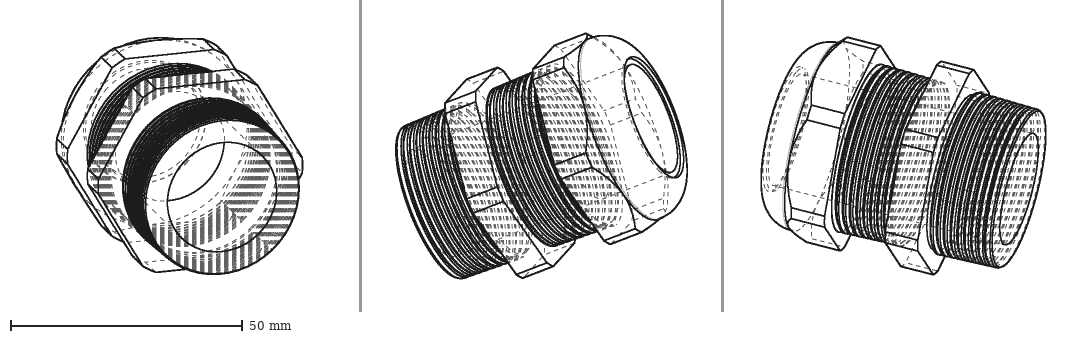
import cadquery as cq
import math

LENGTH = 53.85
DOME_END = 7.5
CAP_END = 17.45
FLANGE_START = 31.35
FLANGE_END = 38.8

HEX_FLATS = 41.9
HEX_ROUND_RADIUS = 23.25
HEX_FLAT_RADIUS = HEX_FLATS / 2
CAP_CHAMFER = HEX_ROUND_RADIUS - HEX_FLAT_RADIUS

BORE_RADIUS = 12.45
OPENING_RADIUS = 13.95
LEDGE_RADIUS = 13.75
LEDGE_DEPTH = 0.7
DOME_RADIUS = HEX_FLAT_RADIUS - OPENING_RADIUS

THREAD_GROOVES = 9
GROOVE_SPAN = 12.6
THREAD_PITCH = GROOVE_SPAN / (THREAD_GROOVES - 1)
THREAD_HALF_ANGLE = math.radians(30)
ROOT_FLAT = 0.15
CREST_TAPER = 0.031

CAP_THREAD_CREST = 18.75
CAP_THREAD_ROOT = 17.8
CAP_THREAD_FIRST_GROOVE = 18.1

END_THREAD_CREST = 18.15
END_THREAD_ROOT = 17.3
END_THREAD_FIRST_GROOVE = 39.45
END_CHAMFER_LENGTH = 0.45
END_CHAMFER_DEPTH = 0.25


def revolve_about_axis(outline):
    """Turn a closed (x, radius) outline on the XY plane into a solid about X."""
    return outline.close().revolve(360, (0, 0, 0), (1, 0, 0))


def disc(start, end, radius):
    return cq.Workplane("YZ").workplane(offset=start).circle(radius).extrude(end - start)


def hexagon(start, end):
    """Hexagonal prism with flats facing +Z and -Z and rounded corners."""
    corner_diameter = HEX_FLATS / math.cos(math.radians(30))
    prism = cq.Workplane("YZ").workplane(offset=start).polygon(6, corner_diameter).extrude(end - start)
    return prism.intersect(disc(start, end, HEX_ROUND_RADIUS))


def crest_radius(x, start, start_radius):
    return start_radius - CREST_TAPER * (x - start)


def groove_points(start, start_radius, root_radius, first_groove):
    """Points of a row of V grooves, front to back, as (x, radius)."""
    points = []
    for i in range(THREAD_GROOVES):
        center = first_groove + i * THREAD_PITCH
        depth = crest_radius(center, start, start_radius) - root_radius
        reach = ROOT_FLAT / 2 + depth * math.tan(THREAD_HALF_ANGLE)
        front = center - reach
        back = center + reach
        points += [
            (front, crest_radius(front, start, start_radius)),
            (center - ROOT_FLAT / 2, root_radius),
            (center + ROOT_FLAT / 2, root_radius),
            (back, crest_radius(back, start, start_radius)),
        ]
    return points


def make_cap_nut():
    """Domed hex nut with a ledge inside its front opening and a straight bore."""
    dome_outline = (
        cq.Workplane("XY")
        .lineTo(0, OPENING_RADIUS)
        .radiusArc((DOME_RADIUS, HEX_FLAT_RADIUS), DOME_RADIUS)
        .lineTo(DOME_END, HEX_FLAT_RADIUS)
        .lineTo(DOME_END, 0)
    )
    dome = revolve_about_axis(dome_outline)

    chamfer_cone = revolve_about_axis(
        cq.Workplane("XY").polyline([
            (DOME_END, 0),
            (DOME_END, HEX_FLAT_RADIUS),
            (DOME_END + CAP_CHAMFER, HEX_ROUND_RADIUS),
            (CAP_END, HEX_ROUND_RADIUS),
            (CAP_END, 0),
        ])
    )
    nut = dome.union(hexagon(DOME_END, CAP_END).intersect(chamfer_cone))

    opening = revolve_about_axis(
        cq.Workplane("XY").polyline([
            (0, 0),
            (0, OPENING_RADIUS),
            (LEDGE_DEPTH, LEDGE_RADIUS),
            (LEDGE_DEPTH, BORE_RADIUS),
            (CAP_END, BORE_RADIUS),
            (CAP_END, 0),
        ])
    )
    return nut.cut(opening)


def make_body():
    """Threaded sleeve with a hex flange between its two threads."""
    cap_thread = groove_points(
        CAP_END, CAP_THREAD_CREST, CAP_THREAD_ROOT, CAP_THREAD_FIRST_GROOVE
    )
    end_thread = groove_points(
        FLANGE_END, END_THREAD_CREST, END_THREAD_ROOT, END_THREAD_FIRST_GROOVE
    )
    end_thread = end_thread[2:]

    chamfer_start = LENGTH - END_CHAMFER_LENGTH
    end_crest = crest_radius(chamfer_start, FLANGE_END, END_THREAD_CREST)
    sleeve = revolve_about_axis(
        cq.Workplane("XY").polyline([
            (CAP_END, BORE_RADIUS),
            (CAP_END, CAP_THREAD_CREST),
            *cap_thread,
            (FLANGE_START, crest_radius(FLANGE_START, CAP_END, CAP_THREAD_CREST)),
            (FLANGE_START, END_THREAD_ROOT),
            *end_thread,
            (chamfer_start, end_crest),
            (LENGTH, end_crest - END_CHAMFER_DEPTH),
            (LENGTH, BORE_RADIUS),
        ])
    )
    flange = hexagon(FLANGE_START, FLANGE_END).cut(disc(FLANGE_START, FLANGE_END, BORE_RADIUS))
    return sleeve.union(flange)


cap_nut = make_cap_nut()
body = make_body()

result = cq.Compound.makeCompound([cap_nut.val(), body.val()])